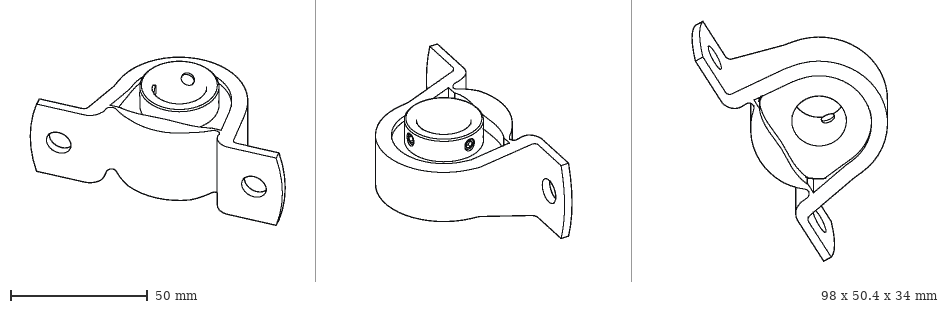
import cadquery as cq
import math

length = 98.0
crown_radius = 25.1
lip_radius = 19.2
leg_angle = math.radians(8.2)
base_y = -25.3
foot_thickness = 3.2
foot_top_y = base_y + foot_thickness
foot_half_height = 16.0
crown_half_height = 10.8
foot_corner_x = 46.55
bolt_hole_diameter = 9.5
bolt_spacing = 75.9
inside_bend_radius = 2.0
outside_bend_radius = 5.9
notch_radius = 2.0
leg_front_x = 22.0
cavity_front_y = -15.0
seat_wave_ends = (17.3, -15.2)
seat_wave_low = (7.35, -16.6)
seat_wave_middle = (0.0, -16.2)

flange_radius = 23.5
flange_half_height = 8.5
flange_chamfer = 0.4
collar_diameter = 29.0
collar_top_z = 18.0
collar_chamfer = 0.6
bore_diameter = 20.0
bore_round = 1.1
screw_diameter = 5.0
countersink_floor_diameter = 4.1
screw_tip_radius = 9.0
screw_z = 13.6
socket_corner_diameter = 3.1
socket_depth = 2.0
screw_countersink_depth = 0.5
screw_angles = (90, 190)


def leg_x(radius, y):
    """X on the straight leg line that is tangent to an arc of this radius."""
    return radius / math.cos(leg_angle) - y * math.tan(leg_angle)


def tangent_point(radius):
    return radius * math.cos(leg_angle), radius * math.sin(leg_angle)


def mirrored(point):
    return -point[0], point[1]


def make_outer_profile():
    notch_x = leg_front_x - notch_radius
    notch_y = -math.sqrt((crown_radius + notch_radius) ** 2 - notch_x**2)
    reach = crown_radius / (crown_radius + notch_radius)
    notch_end = (notch_x * reach, notch_y * reach)
    bend_x = leg_front_x + outside_bend_radius
    bend_y = base_y + outside_bend_radius
    bend_reach = outside_bend_radius * math.sqrt(0.5)
    bend_middle = (bend_x - bend_reach, bend_y - bend_reach)
    notch_top = (notch_x, notch_y + notch_radius)
    crown_start = tangent_point(crown_radius)
    leg_root = (leg_x(crown_radius, foot_top_y), foot_top_y)
    half = length / 2
    return (
        cq.Workplane("XY")
        .moveTo(*crown_start)
        .threePointArc((0, crown_radius), mirrored(crown_start))
        .lineTo(*mirrored(leg_root))
        .lineTo(-half, foot_top_y)
        .lineTo(-half, base_y)
        .lineTo(-bend_x, base_y)
        .threePointArc(mirrored(bend_middle), (-leg_front_x, bend_y))
        .lineTo(-leg_front_x, notch_y)
        .threePointArc(mirrored(notch_top), mirrored(notch_end))
        .threePointArc((0, -crown_radius), notch_end)
        .threePointArc(notch_top, (leg_front_x, notch_y))
        .lineTo(leg_front_x, bend_y)
        .threePointArc(bend_middle, (bend_x, base_y))
        .lineTo(half, base_y)
        .lineTo(half, foot_top_y)
        .lineTo(*leg_root)
        .close()
    )


def make_cavity():
    """Through opening: round top, flared legs and a gently waved front wall."""
    arc_start = tangent_point(lip_radius)
    corner = (leg_x(lip_radius, cavity_front_y), cavity_front_y)
    wave_shoulder = (seat_wave_ends[0], cavity_front_y)
    wave = [mirrored(seat_wave_low), seat_wave_middle, seat_wave_low, seat_wave_ends]
    return (
        cq.Workplane("XY")
        .moveTo(*arc_start)
        .threePointArc((0, lip_radius), mirrored(arc_start))
        .lineTo(*mirrored(corner))
        .lineTo(*mirrored(wave_shoulder))
        .lineTo(*mirrored(seat_wave_ends))
        .spline(wave, includeCurrent=True)
        .lineTo(*wave_shoulder)
        .lineTo(*corner)
        .close()
        .extrude(foot_half_height, both=True)
    )


def make_height_envelope():
    """Side silhouette: level crown, widening from the bore axis to the foot."""
    return (
        cq.Workplane("YZ")
        .polyline([
            (crown_radius, crown_half_height),
            (0, crown_half_height),
            (foot_top_y, foot_half_height),
            (base_y, foot_half_height),
            (base_y, -foot_half_height),
            (foot_top_y, -foot_half_height),
            (0, -crown_half_height),
            (crown_radius, -crown_half_height),
        ])
        .close()
        .extrude(length / 2, both=True)
    )


def make_end_envelope():
    """Foot outline with bowed ends."""
    half = length / 2
    return (
        cq.Workplane("XZ")
        .moveTo(-foot_corner_x, -foot_half_height)
        .lineTo(foot_corner_x, -foot_half_height)
        .threePointArc((half, 0), (foot_corner_x, foot_half_height))
        .lineTo(-foot_corner_x, foot_half_height)
        .threePointArc((-half, 0), (-foot_corner_x, -foot_half_height))
        .close()
        .extrude(length / 2, both=True)
    )


def make_flange():
    return (
        cq.Workplane("XY")
        .circle(flange_radius)
        .extrude(flange_half_height, both=True)
        .edges(">Z or <Z")
        .chamfer(flange_chamfer)
    )


def make_housing():
    body = make_outer_profile().extrude(foot_half_height, both=True)
    leg_root_x = leg_x(crown_radius, foot_top_y)
    for side in (-1, 1):
        root_edge = cq.selectors.NearestToPointSelector((side * leg_root_x, foot_top_y, 0))
        body = body.edges(root_edge).fillet(inside_bend_radius)
    body = body.intersect(make_height_envelope()).intersect(make_end_envelope())
    bolt_holes = (
        cq.Workplane("XZ", origin=(0, foot_top_y, 0))
        .pushPoints([(-bolt_spacing / 2, 0), (bolt_spacing / 2, 0)])
        .circle(bolt_hole_diameter / 2)
        .extrude(foot_thickness)
    )
    return body.cut(make_cavity()).cut(bolt_holes).cut(make_flange())


def screw_plane(angle, radius):
    """Plane facing outward from the bore axis at a set screw."""
    a = math.radians(angle)
    outward = (math.cos(a), math.sin(a), 0)
    origin = (radius * outward[0], radius * outward[1], screw_z)
    return cq.Plane(origin=origin, xDir=(-outward[1], outward[0], 0), normal=outward)


def make_insert():
    """Bearing insert with its collar and set screws in one solid."""
    collar_radius = collar_diameter / 2
    collar = (
        cq.Workplane("XY")
        .circle(collar_radius)
        .extrude(collar_top_z)
        .faces(">Z")
        .chamfer(collar_chamfer)
    )
    insert = make_flange().union(collar)
    insert = insert.cut(cq.Workplane("XY").circle(bore_diameter / 2).extrude(collar_top_z, both=True))
    insert = insert.faces(">Z").edges("%CIRCLE").edges(cq.selectors.RadiusNthSelector(0)).fillet(bore_round)
    for angle in screw_angles:
        screw = (
            cq.Workplane(screw_plane(angle, screw_tip_radius))
            .circle(screw_diameter / 2)
            .extrude((bore_diameter + collar_diameter) / 4 - screw_tip_radius)
        )
        countersink = (
            cq.Workplane(screw_plane(angle, collar_radius))
            .circle(screw_diameter / 2)
            .workplane(offset=-screw_countersink_depth)
            .circle(countersink_floor_diameter / 2)
            .loft()
        )
        socket = (
            cq.Workplane(screw_plane(angle, collar_radius))
            .polygon(6, socket_corner_diameter)
            .extrude(-socket_depth)
        )
        insert = insert.union(screw).cut(countersink).cut(socket)
    return insert


housing = make_housing()
insert = make_insert()
result = cq.Compound.makeCompound([housing.val(), insert.val()])